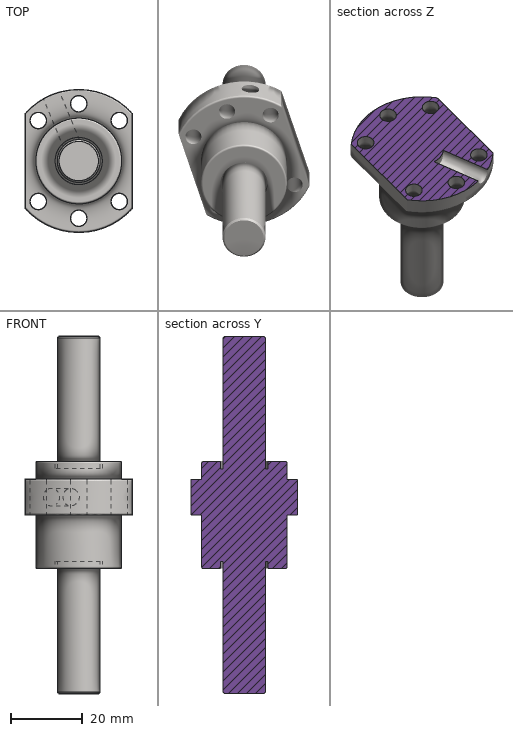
import cadquery as cq
import math

shaft_diameter = 12
shaft_length = 100
shaft_chamfer = 0.5

barrel_diameter = 24
barrel_length = 30
barrel_fillet = 0.5
recess_diameter = 13.2
recess_depth = 2

flange_diameter = 40
flange_width = 30
flange_bottom = 0
flange_thickness = 10
flange_fillet = 0.5

mount_hole_diameter = 4.5
bolt_circle_radius = 16
mount_hole_angles = (45, 90, 135, 225, 270, 315)

oil_hole_diameter = 4.9
oil_hole_angle = (90 + 135) / 2


def chamfered_cylinder(diameter, length, bottom, chamfer):
    """Cylinder along Z with both end edges chamfered."""
    cylinder = cq.Workplane("XY", origin=(0, 0, bottom)).circle(diameter / 2).extrude(length)
    return cylinder.faces("<Z or >Z").edges().chamfer(chamfer)


def rounded_cylinder(diameter, length, bottom, fillet):
    """Cylinder along Z with both end edges rounded."""
    cylinder = cq.Workplane("XY", origin=(0, 0, bottom)).circle(diameter / 2).extrude(length)
    return cylinder.faces("<Z or >Z").edges().fillet(fillet)


def make_flange():
    """Rounded disc trimmed by the flats and drilled with the mounting holes."""
    disc = rounded_cylinder(flange_diameter, flange_thickness, flange_bottom, flange_fillet)
    trim = cq.Workplane("XY", origin=(0, 0, flange_bottom)).rect(flange_width, flange_diameter)
    hole_centres = [
        (
            bolt_circle_radius * math.cos(math.radians(angle)),
            bolt_circle_radius * math.sin(math.radians(angle)),
        )
        for angle in mount_hole_angles
    ]
    holes = cq.Workplane("XY", origin=(0, 0, flange_bottom)).pushPoints(hole_centres)
    holes = holes.circle(mount_hole_diameter / 2).extrude(flange_thickness)
    return disc.intersect(trim.extrude(flange_thickness)).cut(holes)


def make_recess(bottom):
    """Clearance recess around the shaft, starting at the given height."""
    return cq.Workplane("XY", origin=(0, 0, bottom)).circle(recess_diameter / 2).extrude(recess_depth)


def make_oil_hole():
    """Radial drilling from the flange rim inward to the shaft surface."""
    length = flange_diameter / 2
    direction = cq.Vector(
        math.cos(math.radians(oil_hole_angle)),
        math.sin(math.radians(oil_hole_angle)),
        0,
    )
    start = cq.Vector(0, 0, flange_bottom + flange_thickness / 2)
    drill = cq.Solid.makeCylinder(oil_hole_diameter / 2, length, start, direction)
    return cq.Workplane(obj=drill)


nut = rounded_cylinder(barrel_diameter, barrel_length, -barrel_length / 2, barrel_fillet)
nut = nut.union(make_flange())
for recess_bottom in (-barrel_length / 2, barrel_length / 2 - recess_depth):
    nut = nut.cut(make_recess(recess_bottom))
nut = nut.cut(make_oil_hole())

shaft = chamfered_cylinder(shaft_diameter, shaft_length, -shaft_length / 2, shaft_chamfer)
result = nut.union(shaft)